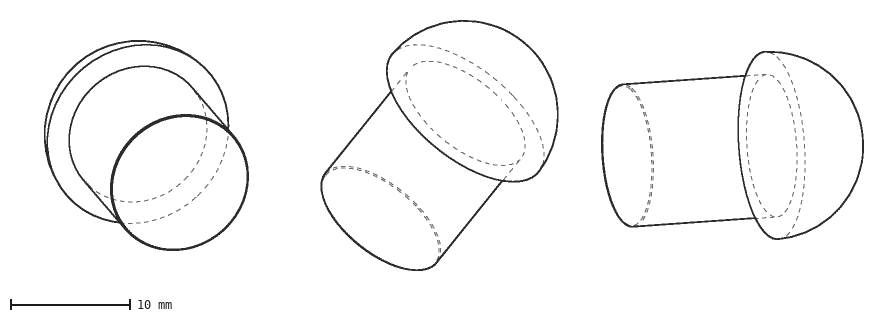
import cadquery as cq
import math

head_diameter = 15.8
head_height = 7.7
shank_diameter = 12.0
shank_length = 13.0
end_chamfer = 0.1

head_radius = head_diameter / 2
shank_radius = shank_diameter / 2

dome_radius = (head_radius**2 + head_height**2) / (2 * head_height)
half_angle = math.asin(head_radius / dome_radius) / 2
dome_middle = (
    -head_height + dome_radius * (1 - math.cos(half_angle)),
    dome_radius * math.sin(half_angle),
)


def revolved_profile():
    """Half outline of head and shank, turned about X; the head's flat underside lies at X = 0."""
    outline = (
        cq.Workplane("XY")
        .moveTo(-head_height, 0)
        .threePointArc(dome_middle, (0, head_radius))
        .lineTo(0, shank_radius)
        .lineTo(shank_length - end_chamfer, shank_radius)
        .lineTo(shank_length, shank_radius - end_chamfer)
        .lineTo(shank_length, 0)
        .close()
    )
    return outline.revolve(360, (0, 0, 0), (1, 0, 0))


result = revolved_profile()